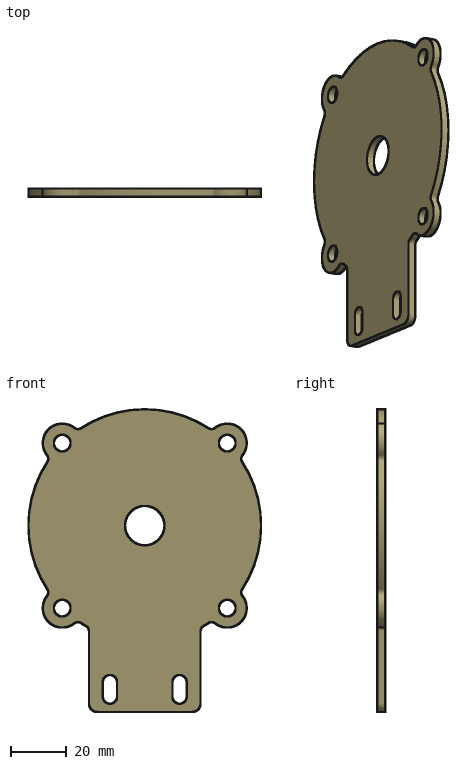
import cadquery as cq
import math

thickness = 3.0
disc_radius = 83.31 / 2
shaft_hole_diameter = 14.0

lug_offset = 29.5
lug_radius = 7.0
lug_hole_diameter = 5.9

tab_width = 40.0
tab_drop = 25.0
tab_corner_radius = 3.0
tab_bottom = -(disc_radius + tab_drop)

notch_radius = 2.0

slot_spacing = 24.9
slot_width = 5.0
slot_length = 10.2
slot_edge_gap = 3.0
slot_center_z = tab_bottom + slot_edge_gap + slot_length / 2

tolerance = 1e-3

lug_centers = [(x_side * lug_offset, z_side * lug_offset) for x_side in (-1, 1) for z_side in (-1, 1)]
slot_centers = [(x_side * slot_spacing / 2, slot_center_z) for x_side in (-1, 1)]


def rear_plane():
    """Workplane on the rear face; extrusion runs toward the front (-Y)."""
    return cq.Workplane("XZ", origin=(0, thickness / 2, 0))


def make_discs(centers, diameter):
    """Cylinders through the plate thickness at the given XZ centres."""
    return rear_plane().pushPoints(centers).circle(diameter / 2).extrude(thickness)


def make_tab():
    """Rectangular tab from the disc centre down, with rounded lower corners."""
    tab_height = -tab_bottom
    tab = rear_plane().center(0, tab_bottom / 2).rect(tab_width, tab_height).extrude(thickness)
    return tab.edges("|Y and <Z").fillet(tab_corner_radius)


def is_rim_notch(edge):
    """True for an edge on the disc rim that also lies on a lug circle or a tab side."""
    x, _, z = edge.Center().toTuple()
    lug_distance = math.hypot(abs(x) - lug_offset, abs(z) - lug_offset)
    on_rim = math.isclose(math.hypot(x, z), disc_radius, abs_tol=tolerance)
    on_lug = math.isclose(lug_distance, lug_radius, abs_tol=tolerance)
    on_tab_side = math.isclose(abs(x), tab_width / 2, abs_tol=tolerance)
    return on_rim and (on_lug or on_tab_side)


def make_plate():
    """Disc, lugs and tab joined, with the notches along the rim filleted."""
    disc = make_discs([(0, 0)], 2 * disc_radius)
    lugs = make_discs(lug_centers, 2 * lug_radius)
    plate = disc.union(lugs).union(make_tab())
    return plate.edges("|Y").filter(is_rim_notch).fillet(notch_radius)


def make_slots():
    """Cutters for the two round-ended slots in the tab."""
    return rear_plane().pushPoints(slot_centers).slot2D(slot_length, slot_width, 90).extrude(thickness)


shaft_hole = make_discs([(0, 0)], shaft_hole_diameter)
lug_holes = make_discs(lug_centers, lug_hole_diameter)

result = make_plate().cut(shaft_hole).cut(lug_holes).cut(make_slots())